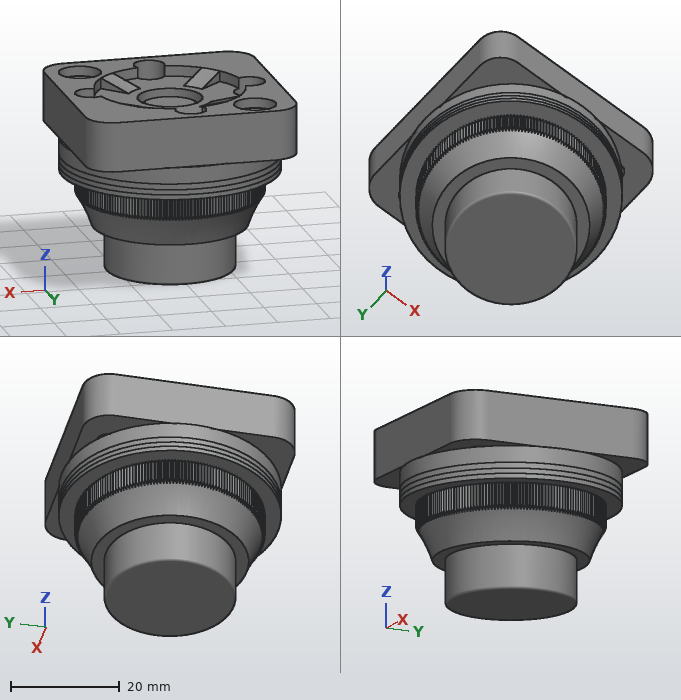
import cadquery as cq
import math

total_height = 34.5
button_projection = 8.45
nut_height = 10.4
washer_heights = [0.95, 1.0, 1.1]
plate_thickness = 9.45

nut_top = button_projection + nut_height
washer_stack_top = nut_top + sum(washer_heights)
plate_bottom = total_height - plate_thickness

flange_diameter = 41.0
neck_diameter = 30.0
plate_side = 40.0
plate_corner_radius = 5.0

recess_diameter = 28.0
recess_depth = 2.0
ramp_count = 4
ramp_width = 3.98
ramp_start_radius = 8.05
ramp_angle = 42.4
round_pocket_count = 4
round_pocket_diameter = 5.75
round_pocket_depth = 4.0
round_pocket_circle_radius = 15.13
center_pocket_diameter = 12.0
center_pocket_depth = 1.95
center_boss_diameter = 10.15
center_boss_height = 0.65

screw_circle_radius = 19.23
screw_angles = [130.0, -45.0]
screw_hole_diameter = 3.5
screw_head_diameter = 7.85
screw_head_depth = 1.85
countersink_diameter = 7.5
countersink_depth = 1.72

nut_diameter = 35.0
nut_nose_diameter = 29.0
nut_knurl_length = 4.2
flare_hollow = 0.3
knurl_tooth_count = 180
knurl_depth = 0.5

button_diameter = 24.27
button_edge_radius = 0.5


def cylinder(diameter, bottom, top):
    """Upright cylinder on the Z axis between two heights."""
    return cq.Workplane("XY").workplane(offset=bottom).circle(diameter / 2).extrude(top - bottom)


def polar_point(radius, angle):
    """XY point at a radius and an angle in degrees."""
    return (radius * math.cos(math.radians(angle)), radius * math.sin(math.radians(angle)))


def revolve_profile(profile):
    """Revolve a closed outline of radius and height about the Z axis."""
    return profile.close().revolve(360, (0, 0, 0), (0, 1, 0))


def make_ramps():
    """Conical ramps that climb from the recess floor to its rim."""
    recess_radius = recess_diameter / 2
    recess_floor = total_height - recess_depth
    cone = revolve_profile(
        cq.Workplane("XZ")
        .moveTo(ramp_start_radius, recess_floor)
        .lineTo(recess_radius, recess_floor)
        .lineTo(recess_radius, total_height)
    )
    ramps = []
    for index in range(ramp_count):
        strip = (
            cq.Workplane("XY")
            .box(recess_diameter, ramp_width, total_height, centered=(False, True, False))
            .rotate((0, 0, 0), (0, 0, 1), ramp_angle + index * 360 / ramp_count)
        )
        ramps.append(cone.intersect(strip))
    return ramps


def make_screw_hole(angle):
    """Cutter for one screw hole: head bore, small shoulder, countersink and shank hole."""
    head_floor = total_height - screw_head_depth
    countersink_floor = head_floor - countersink_depth
    cutter = revolve_profile(
        cq.Workplane("XZ")
        .moveTo(0, plate_bottom)
        .lineTo(screw_hole_diameter / 2, plate_bottom)
        .lineTo(screw_hole_diameter / 2, countersink_floor)
        .lineTo(countersink_diameter / 2, head_floor)
        .lineTo(screw_head_diameter / 2, head_floor)
        .lineTo(screw_head_diameter / 2, total_height)
        .lineTo(0, total_height)
    )
    x, y = polar_point(screw_circle_radius, angle)
    return cutter.translate((x, y, 0))


def make_housing():
    """Square plate with its recessed mounting face, round flange and neck."""
    plate = (
        cq.Workplane("XY")
        .workplane(offset=plate_bottom)
        .rect(plate_side, plate_side)
        .extrude(plate_thickness)
        .edges("|Z")
        .fillet(plate_corner_radius)
    )
    for angle in screw_angles:
        plate = plate.cut(make_screw_hole(angle))

    recess_floor = total_height - recess_depth
    plate = plate.cut(cylinder(recess_diameter, recess_floor, total_height))
    for ramp in make_ramps():
        plate = plate.union(ramp)

    pockets = (
        cq.Workplane("XY")
        .workplane(offset=total_height - round_pocket_depth)
        .polarArray(round_pocket_circle_radius, 0, 360, round_pocket_count)
        .circle(round_pocket_diameter / 2)
        .extrude(round_pocket_depth)
    )
    plate = plate.cut(pockets)

    center_floor = recess_floor - center_pocket_depth
    plate = plate.cut(cylinder(center_pocket_diameter, center_floor, recess_floor))
    boss = cylinder(center_boss_diameter, center_floor, center_floor + center_boss_height)

    flange = cylinder(flange_diameter, washer_stack_top, plate_bottom)
    neck = cylinder(neck_diameter, nut_top, washer_stack_top)
    return plate.union(boss).union(flange).union(neck)


def make_washers():
    """Flat washers stacked on the neck between the nut and the flange."""
    washers = []
    bottom = nut_top
    for height in washer_heights:
        top = bottom + height
        washers.append(cylinder(flange_diameter, bottom, top).cut(cylinder(neck_diameter, bottom, top)))
        bottom = top
    return washers


def make_nut():
    """Ring nut with a knurled rim and a hollow flare down to its nose."""
    rim_radius = nut_diameter / 2
    nose_radius = nut_nose_diameter / 2
    bore_radius = button_diameter / 2
    knurl_bottom = nut_top - nut_knurl_length
    flare_middle = ((rim_radius + nose_radius) / 2 - flare_hollow, (knurl_bottom + button_projection) / 2)
    blank = revolve_profile(
        cq.Workplane("XZ")
        .moveTo(bore_radius, button_projection)
        .lineTo(nose_radius, button_projection)
        .threePointArc(flare_middle, (rim_radius, knurl_bottom))
        .lineTo(rim_radius, nut_top)
        .lineTo(bore_radius, nut_top)
    )

    knurl_outline = []
    for tooth in range(knurl_tooth_count):
        tip_angle = tooth * 360 / knurl_tooth_count
        valley_angle = (tooth + 0.5) * 360 / knurl_tooth_count
        knurl_outline.append(polar_point(rim_radius, tip_angle))
        knurl_outline.append(polar_point(rim_radius - knurl_depth, valley_angle))
    knurl = (
        cq.Workplane("XY")
        .workplane(offset=button_projection)
        .polyline(knurl_outline)
        .close()
        .extrude(nut_height)
    )
    return blank.intersect(knurl)


def make_button():
    """Round push button that fills the bore of the nut."""
    return cylinder(button_diameter, 0, nut_top).faces("<Z").edges().fillet(button_edge_radius)


housing = make_housing()
washers = make_washers()
nut = make_nut()
button = make_button()

result = cq.Compound.makeCompound(
    [housing.val(), *[washer.val() for washer in washers], nut.val(), button.val()]
)